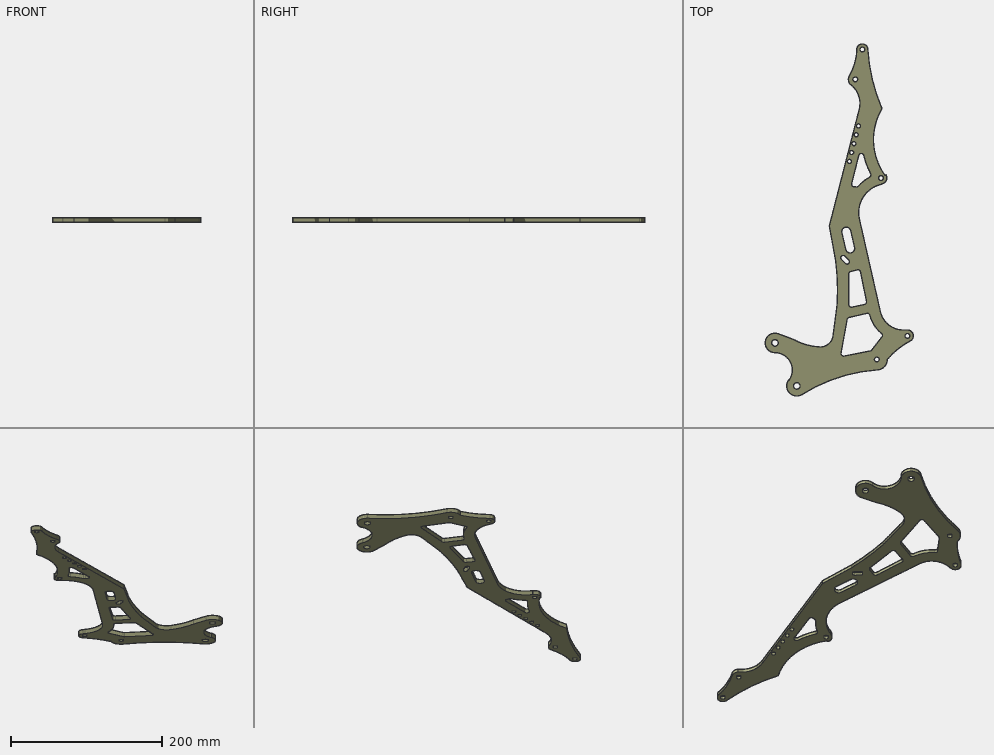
import cadquery as cq
import math

length = 465.5
width = 196.0
thickness = 6.0

clamp_bore = 8.5
mount_bore = 6.0
row_bore = 5.0

tip_radius = 7.5
cheek_radius = 9.5
lug_radius = 8.0
heel_radius = 14.0
upper_jaw_radius = 13.0
lower_jaw_radius = 13.5

tip = (128.5, length - tip_radius)
cheek = (119.0, 418.5)
elbow_lug = (153.0, 288.0)
foot_lug = (width - lug_radius, 79.5)
heel = (147.5, 48.5)
upper_jaw = (upper_jaw_radius, 70.5)
lower_jaw = (42.0, lower_jaw_radius)

arm_angle = 75.7
leg_angle = 102.8

neck_relief = (94.0, 387.0)
neck_relief_radius = 31.0
elbow_relief = (162.0, 242.5)
elbow_relief_radius = 38.0
shoulder_relief = (224.5, 339.0)
shoulder_relief_radius = 81.0
ankle_relief = (182.5, 118.2)
ankle_relief_radius = 30.5
jaw_relief = (13.0, 34.5)
jaw_relief_radius = 23.0

shoulder_web = 14.5
elbow_web = 14.5
ankle_web = 15.0

row_start = (123.5, 357.0)
row_count = 5
row_pitch = 12.0

long_slot_center = (110.0, 206.2)
long_slot_width = 11.5
long_slot_length = 34.5
short_slot_center = (105.5, 180.0)
short_slot_width = 6.0
short_slot_length = 13.5
short_slot_angle = -45.0

window_fillet = 3.3


def on_circle(center, radius, angle):
    """Point on a circle at an angle in degrees from +X."""
    turn = math.radians(angle)
    return (center[0] + radius * math.cos(turn), center[1] + radius * math.sin(turn))


def arc_along(path, center, radius, start, end):
    """Arc of a circle from the start angle, where the path already is, to the end angle."""
    middle = on_circle(center, radius, (start + end) / 2)
    return path.threePointArc(middle, on_circle(center, radius, end))


def arc_to(path, center, radius, start, end):
    """Line to a circle at the start angle, then follow it to the end angle."""
    path = path.lineTo(*on_circle(center, radius, start))
    return arc_along(path, center, radius, start, end)


def plate():
    """Solid plate inside the outer outline, followed counterclockwise from the tip."""
    path = cq.Workplane("XY").moveTo(*on_circle(tip, tip_radius, 0))
    path = arc_along(path, tip, tip_radius, 0, 190)
    path = path.threePointArc((118.2, 440.0), on_circle(cheek, cheek_radius, 145))
    path = arc_along(path, cheek, cheek_radius, 145, 210)
    path = arc_to(path, neck_relief, neck_relief_radius, 55, arm_angle - 90)

    path = path.lineTo(84.5, 225.0)
    path = path.lineTo(93.0, 179.0)
    path = path.threePointArc((95.5, 147.5), (95.0, 120.5))
    path = path.lineTo(89.5, 78.0)
    path = path.threePointArc((84.3, 69.5), (72.5, 65.0))
    path = path.threePointArc((54.5, 68.0), (37.5, 75.0))

    path = arc_to(path, upper_jaw, upper_jaw_radius, 69, 270)
    path = arc_to(path, jaw_relief, jaw_relief_radius, 88, -37)
    path = arc_to(path, lower_jaw, lower_jaw_radius, 145, 297)

    path = path.threePointArc((93.0, 23.5), on_circle(heel, heel_radius, -85))
    path = arc_along(path, heel, heel_radius, -85, 0)
    path = path.threePointArc((173.5, 60.5), on_circle(foot_lug, lug_radius, -50))
    path = arc_along(path, foot_lug, lug_radius, -50, 95)

    path = arc_to(path, ankle_relief, ankle_relief_radius, 275, leg_angle + 90)
    path = arc_to(path, elbow_relief, elbow_relief_radius, leg_angle + 90, 102)
    path = arc_to(path, elbow_lug, lug_radius, -80, 35)
    path = arc_to(path, shoulder_relief, shoulder_relief_radius, 215.5, 149.5)
    path = path.threePointArc((142.0, 418.0), on_circle(tip, tip_radius, 0))
    return path.close().extrude(thickness)


def bores(diameter, centers):
    return cq.Workplane("XY").pushPoints(centers).circle(diameter / 2).extrude(thickness)


def row_centers():
    turn = arm_angle + 180
    return [on_circle(row_start, row_pitch * i, turn) for i in range(row_count)]


def slot(center, slot_length, slot_width, angle):
    return cq.Workplane("XY").center(*center).slot2D(slot_length, slot_width, angle).extrude(thickness)


def rounded(path):
    return path.close().extrude(thickness).edges("|Z").fillet(window_fillet)


def arm_window():
    """Window whose two inner sides follow the curvature of the reliefs around the elbow lug."""
    elbow_corner = (141.0, 291.0)
    apex = (128.0, 334.3)
    path = cq.Workplane("XY").moveTo(113.5, 277.0)
    path = path.lineTo(122.5, 276.5)
    path = path.radiusArc(elbow_corner, elbow_relief_radius + elbow_web)
    path = path.radiusArc(apex, shoulder_relief_radius + shoulder_web)
    return rounded(path)


def leg_window():
    corners = [(111.0, 117.0), (134.5, 122.0), (125.2, 167.5), (111.0, 164.0)]
    return rounded(cq.Workplane("XY").polyline(corners))


def foot_window():
    """Five-sided window with one side parallel to the ankle relief."""
    path = cq.Workplane("XY").moveTo(109.0, 103.5)
    path = path.lineTo(99.5, 52.0)
    path = path.lineTo(140.0, 60.0)
    path = arc_to(path, ankle_relief, ankle_relief_radius + ankle_web, 235, 190.5)
    return rounded(path)


cutters = [
    bores(clamp_bore, [upper_jaw, lower_jaw]),
    bores(mount_bore, [tip, cheek, elbow_lug, foot_lug, heel]),
    bores(row_bore, row_centers()),
    slot(long_slot_center, long_slot_length, long_slot_width, leg_angle),
    slot(short_slot_center, short_slot_length, short_slot_width, short_slot_angle),
    arm_window(),
    leg_window(),
    foot_window(),
]

result = plate()
for cutter in cutters:
    result = result.cut(cutter)